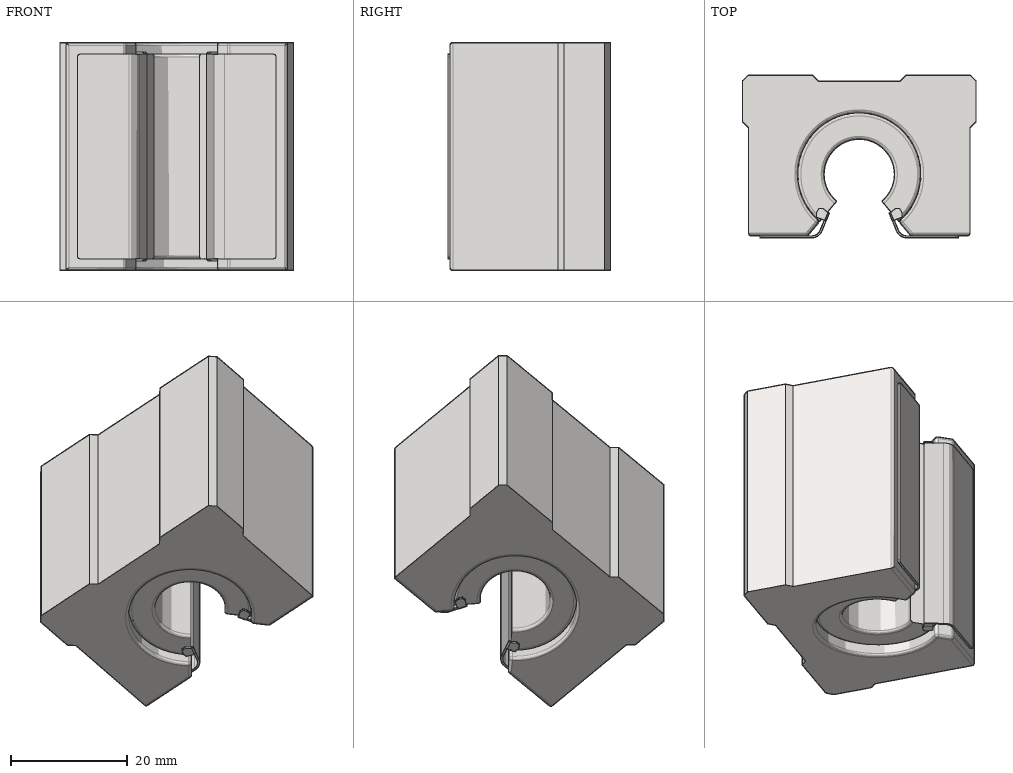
import cadquery as cq
import math


width = 40.0
length = 39.0
back_y = 17.0
front_y = -10.5
step = 1.05
flange_side_y = 9.0
back_relief_half_width = 8.0
bore_radius = 10.5
opening_half_angle = 40.0
edge_radius = 0.5

bushing_length = 35.0
bushing_bore_radius = 6.0

seal_length = 35.8
seal_root_x = 6.9
seal_root_y = -5.85
seal_nose_x = 6.2
seal_heel_x = 7.3
seal_shoulder_y = -6.5
seal_heel_y = -7.3
seal_chamfer = 0.3

strip_length = bushing_length
strip_thickness = 0.35
strip_outer_x = 17.0
strip_bend_x = 8.2
strip_bend_radius = 2.0
strip_bend_angle = 67.5
strip_corner_radius = 0.5

flank_slope = math.tan(math.radians(opening_half_angle))
bend_angle = math.radians(strip_bend_angle)
strip_outer_y = front_y - strip_thickness
strip_inner_radius = strip_bend_radius - strip_thickness


def polar(radius, degrees_from_front):
    """Point at a radius and an angle from -Y, on the +X side."""
    angle = math.radians(degrees_from_front)
    return (radius * math.sin(angle), -radius * math.cos(angle))


def centred_prism(profile, height):
    """Extrude a closed XY profile symmetrically about Z = 0."""
    return profile.extrude(height / 2, both=True)


def opening_wedge(height):
    """Wedge from the shaft axis that opens the -Y side."""
    reach = width
    right = polar(reach, opening_half_angle)
    left = (-right[0], right[1])
    return centred_prism(cq.Workplane("XY").polyline([(0, 0), right, left]).close(), height)


def make_housing():
    half_width = width / 2
    body_half_width = half_width - step
    right_half = [
        (back_relief_half_width - step, back_y - step),
        (back_relief_half_width, back_y),
        (half_width - step, back_y),
        (half_width, back_y - step),
        (half_width, flange_side_y),
        (body_half_width, flange_side_y - step),
        (body_half_width, front_y),
    ]
    left_half = [(-x, y) for x, y in reversed(right_half)]
    block = centred_prism(cq.Workplane("XY").polyline(right_half + left_half).close(), length)
    bore = centred_prism(cq.Workplane("XY").circle(bore_radius), length)
    housing = block.cut(bore).cut(opening_wedge(length))

    front_edges = housing.faces("<Y").edges()
    flank_end_x = -front_y * flank_slope
    opening_box = cq.selectors.BoxSelector(
        (-flank_end_x - edge_radius, front_y - edge_radius, -length),
        (flank_end_x + edge_radius, bore_radius, length),
    )
    return housing.edges(opening_box).add(front_edges).fillet(edge_radius)


def bend_point(radius, angle):
    """Point on the bend of the +X strip; the angle runs from the flat leg."""
    return (
        strip_bend_x - radius * math.sin(angle),
        strip_outer_y + strip_bend_radius - radius * math.cos(angle),
    )


def strip_tip():
    """Outer and inner tip corners of the +X strip; the inner one lies on the opening flank."""
    inner_start = bend_point(strip_inner_radius, bend_angle)
    outer_start = bend_point(strip_bend_radius, bend_angle)
    leg = (inner_start[0] + flank_slope * inner_start[1]) / (
        math.cos(bend_angle) - flank_slope * math.sin(bend_angle)
    )
    rise = (-leg * math.cos(bend_angle), leg * math.sin(bend_angle))
    return [(x + rise[0], y + rise[1]) for x, y in (outer_start, inner_start)]


def make_strip():
    """Strip on the +X side: flat leg on the front face, bend, then a leg along the seal."""
    outer_tip, inner_tip = strip_tip()
    strip = centred_prism(
        cq.Workplane("XY")
        .moveTo(strip_outer_x, strip_outer_y)
        .lineTo(strip_bend_x, strip_outer_y)
        .threePointArc(
            bend_point(strip_bend_radius, bend_angle / 2), bend_point(strip_bend_radius, bend_angle)
        )
        .lineTo(*outer_tip)
        .lineTo(*inner_tip)
        .lineTo(*bend_point(strip_inner_radius, bend_angle))
        .threePointArc(bend_point(strip_inner_radius, bend_angle / 2), (strip_bend_x, front_y))
        .lineTo(strip_outer_x, front_y)
        .close(),
        strip_length,
    )
    return strip.faces(">X").edges("|Y").fillet(strip_corner_radius)


def make_seal(strip):
    """Seal on the +X side, with chamfered ends that reach over the ends of the strip."""
    outer_tip, inner_tip = strip_tip()
    front_depth = (seal_heel_x - outer_tip[0]) * math.cos(bend_angle) - (
        seal_heel_y - outer_tip[1]
    ) * math.sin(bend_angle)
    front_corner = (
        outer_tip[0] + front_depth * math.cos(bend_angle),
        outer_tip[1] - front_depth * math.sin(bend_angle),
    )
    seal = centred_prism(
        cq.Workplane("XY").polyline([
            outer_tip,
            inner_tip,
            (seal_nose_x, seal_root_y),
            (seal_root_x, seal_root_y),
            (seal_heel_x, seal_shoulder_y),
            (seal_heel_x, seal_heel_y),
            front_corner,
        ]).close(),
        seal_length,
    )
    edge_x = (outer_tip[0] + front_corner[0]) / 2
    edge_y = (outer_tip[1] + front_corner[1]) / 2
    for end_z in (-seal_length / 2, seal_length / 2):
        end_edge = cq.selectors.NearestToPointSelector((edge_x, edge_y, end_z))
        seal = seal.edges(end_edge).chamfer(seal_chamfer)
    return seal.cut(strip)


def make_bushing(groove_fillers):
    ring = centred_prism(
        cq.Workplane("XY").circle(bore_radius).circle(bushing_bore_radius), bushing_length
    )
    ring = ring.faces("|Z").edges().fillet(edge_radius)
    bushing = ring.cut(opening_wedge(bushing_length))
    for body in groove_fillers:
        bushing = bushing.cut(body)
    return bushing


housing = make_housing()
strip = make_strip()
seal = make_seal(strip)
strips = [strip, strip.mirror("YZ")]
seals = [seal, seal.mirror("YZ")]
bushing = make_bushing(seals + strips)

result = cq.Compound.makeCompound(
    [housing.val(), bushing.val()] + [body.val() for body in seals + strips]
)